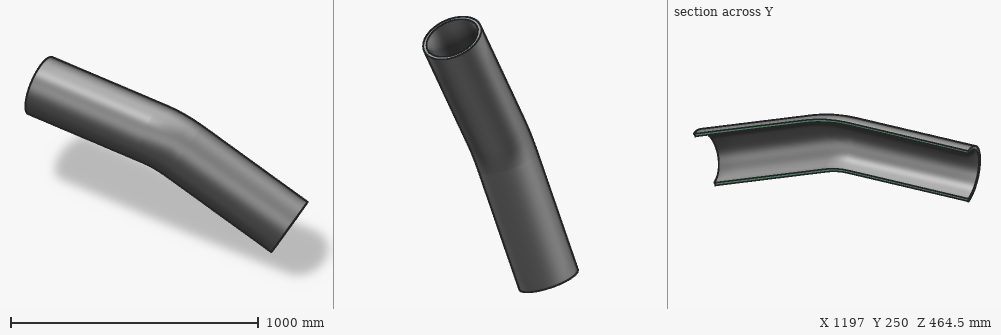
import cadquery as cq
import math

overall_length = 1197.0
outer_diameter = 250.0
bore_diameter = 220.0
bend_angle = 22.0
bend_radius = 1.5 * outer_diameter

angle = math.radians(bend_angle)
outside_bend_radius = bend_radius + outer_diameter / 2
elbow_length = outside_bend_radius * math.sin(angle)
leg_length = (overall_length - elbow_length) / (1 + math.cos(angle))


def bend_point(turn):
    """Point on the centreline arc after turning down by the given angle (X, Z)."""
    return (
        leg_length + bend_radius * math.sin(turn),
        -bend_radius * (1 - math.cos(turn)),
    )


bend_end = bend_point(angle)
path_end = (
    bend_end[0] + leg_length * math.cos(angle),
    bend_end[1] - leg_length * math.sin(angle),
)
centreline = (
    cq.Workplane("XZ")
    .lineTo(leg_length, 0)
    .threePointArc(bend_point(angle / 2), bend_end)
    .lineTo(*path_end)
)

result = (
    cq.Workplane("YZ")
    .circle(outer_diameter / 2)
    .circle(bore_diameter / 2)
    .sweep(centreline)
)